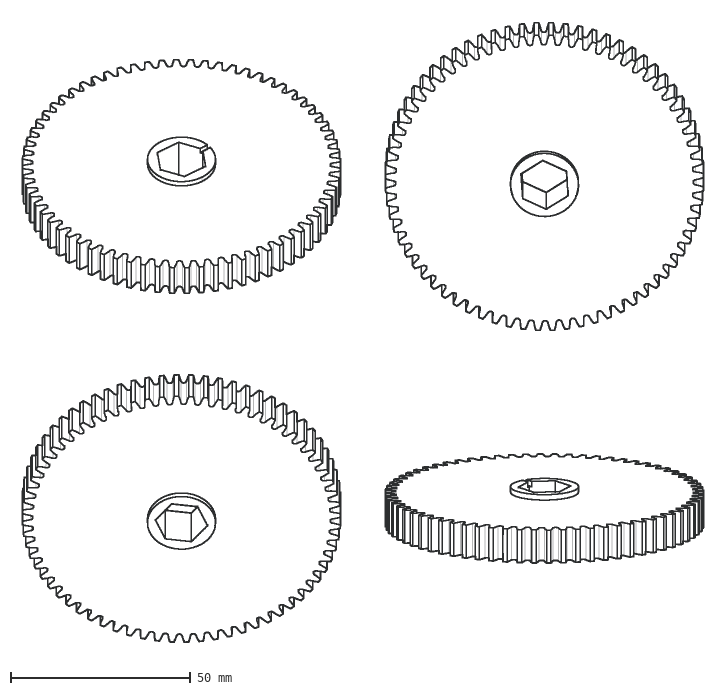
import cadquery as cq
import math

overall_width = 88.85
total_height = 12.6
gear_height = 9.5
hub_diameter = 19.0
hex_across_flats = 12.7
slot_width = 1.3

tooth_count = 68
pressure_angle = math.radians(14.5)
flank_start_radius = 42.2
flank_steps = 5

module = overall_width / (tooth_count + 2)
pitch_radius = module * tooth_count / 2
base_radius = pitch_radius * math.cos(pressure_angle)
pitch_angle = 2 * math.pi / tooth_count
hex_circumdiameter = hex_across_flats / math.cos(math.pi / 6)


def polar(radius, angle):
    return (radius * math.cos(angle), radius * math.sin(angle))


def involute_roll(radius):
    """Roll angle at which the involute of the base circle reaches a radius."""
    return math.sqrt((radius / base_radius) ** 2 - 1)


def involute_angle(radius):
    """Angle swept by the involute from the base circle out to a radius."""
    roll = involute_roll(radius)
    return roll - math.atan(roll)


def gap_half_angle(radius):
    """Half the angle of a tooth gap; gap and tooth are equal on the pitch circle."""
    return pitch_angle / 4 - involute_angle(pitch_radius) + involute_angle(radius)


tip_radius = overall_width / 2 / math.cos(gap_half_angle(overall_width / 2))

start_roll = involute_roll(flank_start_radius)
normal_angle = gap_half_angle(base_radius) + start_roll
bottom_arc_center = base_radius / math.cos(normal_angle)
bottom_arc_radius = base_radius * (math.tan(normal_angle) - start_roll)
root_radius = bottom_arc_center - bottom_arc_radius


def level(z):
    return cq.Workplane("XY").workplane(offset=z)


def make_gap_cutter():
    """Prism that cuts one tooth gap, centered on the X axis."""
    radial_step = (tip_radius - flank_start_radius) / flank_steps
    radii = [flank_start_radius + step * radial_step for step in range(flank_steps + 1)]
    upper_flank = [polar(radius, gap_half_angle(radius)) for radius in radii]
    lower_flank = [(x, -y) for x, y in reversed(upper_flank)]
    outer_x = tip_radius + module
    return (
        level(-gear_height / 2)
        .moveTo(*lower_flank[-1])
        .threePointArc((root_radius, 0), upper_flank[0])
        .spline(upper_flank[1:], includeCurrent=True)
        .lineTo(outer_x, upper_flank[-1][1])
        .lineTo(outer_x, lower_flank[0][1])
        .lineTo(*lower_flank[0])
        .spline(lower_flank[1:], includeCurrent=True)
        .close()
        .extrude(gear_height)
    )


def make_gear():
    blank = level(-gear_height / 2).circle(tip_radius).extrude(gear_height)
    gap = make_gap_cutter().val()
    gaps = [
        gap.rotate(cq.Vector(0, 0, 0), cq.Vector(0, 0, 1), math.degrees(index * pitch_angle))
        for index in range(tooth_count)
    ]
    return cq.Workplane(blank.val().cut(*gaps))


def make_hub():
    return level(-total_height / 2).circle(hub_diameter / 2).extrude(total_height)


def make_hex_bore():
    """Through bore with two corners on the Y axis."""
    bore = level(-total_height / 2).polygon(6, hex_circumdiameter).extrude(total_height)
    return bore.rotate((0, 0, 0), (0, 0, 1), 90)


def make_hub_slot():
    """Radial slot through the +Y wall of the upper hub, down to the gear face."""
    return (
        level(gear_height / 2)
        .rect(slot_width, hub_diameter, centered=(True, False))
        .extrude((total_height - gear_height) / 2)
    )


result = make_gear().union(make_hub()).cut(make_hex_bore()).cut(make_hub_slot())